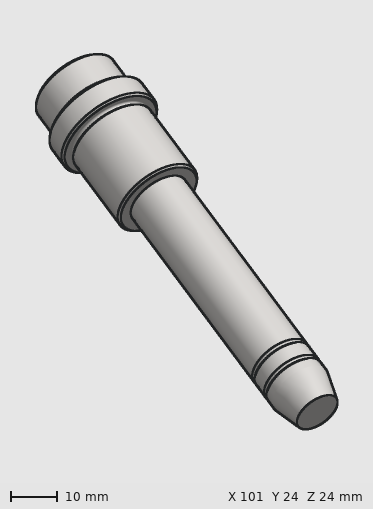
import cadquery as cq
import math

length = 101.0
head_radius = 20.0 / 2
collar_radius = 24.0 / 2
shank_radius = 14.0 / 2

collar_start = 9.0
collar_end = 15.0
head_end = 35.0
tip_start = 93.9
tip_half_angle = 15.0

edge_chamfer = 0.5

groove_width = 1.0
shank_groove_starts = (85.5, 90.5)

tip_radius = shank_radius - (length - tip_start) * math.tan(math.radians(tip_half_angle))


def cylinder(start, end, radius):
    """Solid cylinder along X between two stations."""
    return cq.Workplane("YZ", origin=(start, 0, 0)).circle(radius).extrude(end - start)


def round_groove(start, surface_radius):
    """Ring with a half-round section, to be cut from a cylinder."""
    depth = groove_width / 2
    middle = start + groove_width / 2
    return (
        cq.Workplane("XY")
        .moveTo(start, surface_radius)
        .threePointArc((middle, surface_radius - depth), (start + groove_width, surface_radius))
        .close()
        .revolve(360, (0, 0, 0), (1, 0, 0))
    )


head = cylinder(0, head_end, head_radius).faces("<X or >X").chamfer(edge_chamfer)

collar = cylinder(collar_start, collar_end, collar_radius).faces("<X or >X").chamfer(edge_chamfer)
for relief_start in (collar_start - groove_width, collar_end):
    head = head.cut(round_groove(relief_start, head_radius))

shank = (
    cq.Workplane("XY")
    .moveTo(head_end, 0)
    .lineTo(head_end, shank_radius)
    .lineTo(tip_start, shank_radius)
    .lineTo(length, tip_radius)
    .lineTo(length, 0)
    .close()
    .revolve(360, (0, 0, 0), (1, 0, 0))
)
for groove_start in shank_groove_starts:
    shank = shank.cut(round_groove(groove_start, shank_radius))

result = head.union(collar).union(shank)